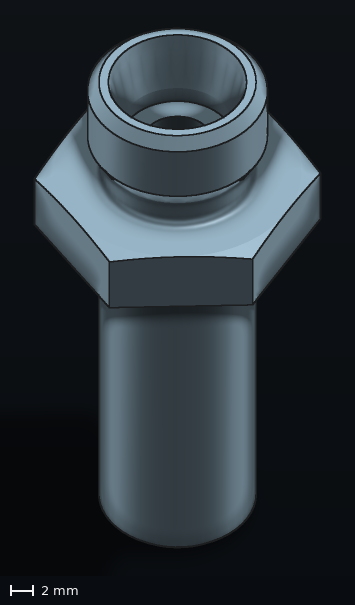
import cadquery as cq
import math

total_length = 51.0
hex_bottom = 34.0
hex_height = 6.0
hex_top = hex_bottom + hex_height

hex_width = 22.05
hex_turn = 30.0
hex_corner_diameter = hex_width / math.cos(math.radians(hex_turn))
hex_chamfer_angle = 15.0
hex_clearance = 0.5

tube_radius = 14.0 / 2
collar_radius = 16.0 / 2
neck_radius = 13.7 / 2
end_chamfer = 1.0
neck_fillet = 0.9
collar_taper_start = 44.55
collar_taper_angle = 30.0
collar_taper_end = collar_taper_start - (
    (collar_radius - neck_radius) / math.tan(math.radians(collar_taper_angle))
)

bore_radius = 6.0 / 2
socket_radius = 10.0 / 2
cone_mouth_radius = 12.3 / 2
cone_half_angle = 12.0
cone_bottom = total_length - (
    (cone_mouth_radius - socket_radius) / math.tan(math.radians(cone_half_angle))
)
socket_bottom = 44.0


def revolve(profile):
    """Turn a closed (radius, z) profile about the Z axis."""
    return cq.Workplane("XZ").polyline(profile).close().revolve(360, (0, 0, 0), (0, 1, 0))


def make_tube():
    tube = cq.Workplane("XY").circle(tube_radius).extrude(hex_bottom)
    return tube.faces("<Z").chamfer(end_chamfer)


def make_hexagon():
    """Hexagon with flats facing X, its upper corners cut by a shallow cone."""
    hexagon = (
        cq.Workplane("XY", origin=(0, 0, hex_bottom))
        .polygon(6, hex_corner_diameter)
        .extrude(hex_height)
        .rotate((0, 0, 0), (0, 0, 1), hex_turn)
    )
    flat_radius = hex_width / 2
    envelope_radius = hex_corner_diameter / 2 + hex_clearance
    cone_drop = (envelope_radius - flat_radius) * math.tan(math.radians(hex_chamfer_angle))
    envelope = revolve([
        (0, hex_bottom),
        (envelope_radius, hex_bottom),
        (envelope_radius, hex_top - cone_drop),
        (flat_radius, hex_top),
        (0, hex_top),
    ])
    return hexagon.intersect(envelope)


def make_collar():
    """Neck and collar above the hexagon."""
    return revolve([
        (0, hex_top),
        (neck_radius, hex_top),
        (neck_radius, collar_taper_end),
        (collar_radius, collar_taper_start),
        (collar_radius, total_length - end_chamfer),
        (collar_radius - end_chamfer, total_length),
        (0, total_length),
    ])


def make_passage():
    """Through bore opening into a socket with a conical mouth."""
    return revolve([
        (0, 0),
        (bore_radius, 0),
        (bore_radius, socket_bottom),
        (socket_radius, socket_bottom),
        (socket_radius, cone_bottom),
        (cone_mouth_radius, total_length),
        (0, total_length),
    ])


body = make_tube().union(make_hexagon()).union(make_collar())

neck_edges = cq.selectors.BoxSelector(
    (-neck_radius, -neck_radius, hex_top - neck_fillet),
    (neck_radius, neck_radius, collar_taper_end + neck_fillet),
)
body = body.edges(neck_edges).edges("%CIRCLE").edges(
    cq.selectors.RadiusNthSelector(0)
).fillet(neck_fillet)

result = body.cut(make_passage())